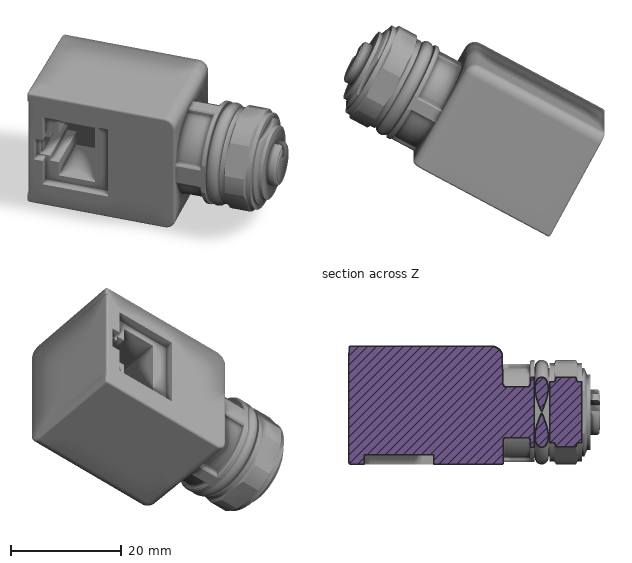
import cadquery as cq
import math


HOUSING_LENGTH = 28.25
HOUSING_WIDTH = 21.5
HOUSING_HEIGHT = 24.0
HOUSING_FRONT = -9.5
DRAFT_ANGLE = 0.5
CORNER_RADIUS = 2.0
EDGE_RADIUS = 0.4

LID_HEIGHT = 20.5
LID_BACK = 10.75
LID_INNER_FACE = 0.75
LID_SETBACK = 0.15
LID_EDGE_RADIUS = 0.5

RECESS_START = 3.05
RECESS_END = 15.5
RECESS_HEIGHT = 14.8
RECESS_DEPTH = 1.7
RECESS_NOTCH_START = 1.4
RECESS_NOTCH_HEIGHT = 4.55
JACK_END = 12.45
JACK_DEPTH = 12.0
JACK_STEPS = ((5.55, 12.0), (3.9, 6.2), (2.25, 4.0))
LATCH_START = 1.95
LATCH_HEIGHT = 4.0
LATCH_DEPTH = 2.7

COLLAR_ROOT = HOUSING_LENGTH - CORNER_RADIUS
COLLAR_CORE_RADIUS = 8.45
FLANGE_RADIUS = 9.5
FLANGE_START = 33.0
FLANGE_END = 33.9
Z_RIB_TOP = 9.4
Z_RIB_WIDTH = 2.8
Y_RIB_WIDTH = 4.1
FRONT_RIB_TOP = 9.05
BACK_RIB_TOP = 8.72
RIB_CHAMFER = 0.25
POCKET_FOOT = 0.2

SEAL_RADIUS = 1.25
SEAL_OUTER_RADIUS = 9.5
SEAL_CENTRE = FLANGE_END + SEAL_RADIUS
SLEEVE_RADIUS = 8.0
SLEEVE_FLAT_WIDTH = 14.0
SLEEVE_CONE_START = 42.9
SLEEVE_CONE_END = 43.4
SLEEVE_END = 44.05
SLEEVE_TIP_RADIUS = 13.75 / 2

NUT_COLLAR_RADIUS = 17.9 / 2
NUT_START = 36.6
NUT_END = 42.5
HEX_START = 37.45
HEX_END = 41.65
HEX_ACROSS_FLATS = 18.0
HEX_CORNER_RADIUS = 9.5
HEX_BEVEL_LENGTH = 0.3

INSERT_RADIUS = 4.1
INSERT_END = 45.77
INSERT_STEP = 0.15
INSERT_TIP_RADIUS = 3.2
INSERT_CHAMFER = 0.3
KEYWAY_ANGLE = 17.5
KEYWAY_WIDTH = 2.1
KEYWAY_FLOOR = 1.1
LEDGE_Y = 3.3
LEDGE_Z = 1.0


def block(x0, x1, y0, y1, z0, z1):
    return cq.Workplane("XY").box(x1 - x0, y1 - y0, z1 - z0, centered=False).translate((x0, y0, z0))


def cylinder(x0, x1, radius):
    return cq.Workplane("YZ", origin=(x0, 0, 0)).circle(radius).extrude(x1 - x0)


def turned(points):
    """Solid of revolution about the X axis from an outline of (x, radius) points."""
    return cq.Workplane("XY").polyline(points).close().revolve(360, (0, 0, 0), (1, 0, 0))


def make_housing():
    body = (
        cq.Workplane("XZ", origin=(HOUSING_LENGTH / 2, HOUSING_FRONT, 0))
        .rect(HOUSING_LENGTH, HOUSING_HEIGHT)
        .extrude(-HOUSING_WIDTH, taper=DRAFT_ANGLE)
    )
    far_edges = body.faces(">X or >Y").edges()
    outer_edges = far_edges.edges("not(<X or <Y)")
    body = outer_edges.fillet(CORNER_RADIUS)
    return body.faces("<X or <Y").edges().fillet(EDGE_RADIUS)


def lid_block(x0):
    """Plate with drafted sides from x0 to the inner face of the lid."""
    front_half = LID_HEIGHT / 2
    back_half = front_half - (LID_BACK - HOUSING_FRONT) * math.tan(math.radians(DRAFT_ANGLE))
    outline = [
        (HOUSING_FRONT, -front_half),
        (LID_BACK, -back_half),
        (LID_BACK, back_half),
        (HOUSING_FRONT, front_half),
    ]
    sketch = cq.Workplane("YZ", origin=(x0, 0, 0)).polyline(outline).close()
    plate = sketch.extrude(LID_INNER_FACE - x0)
    return plate.edges(">Y and |X").fillet(EDGE_RADIUS)


def fit_lid(housing):
    lid = lid_block(LID_SETBACK).edges("<X and <Y").fillet(LID_EDGE_RADIUS)
    return housing.cut(lid_block(-LID_INNER_FACE)).union(lid)


def port_pocket(x0, x1, height, depth):
    return block(x0, x1, HOUSING_FRONT, HOUSING_FRONT + depth, -height / 2, height / 2)


def make_port():
    port = port_pocket(RECESS_START, RECESS_END, RECESS_HEIGHT, RECESS_DEPTH)
    port = port.union(port_pocket(RECESS_NOTCH_START, RECESS_END, RECESS_NOTCH_HEIGHT, RECESS_DEPTH))
    for start, height in JACK_STEPS:
        port = port.union(port_pocket(start, JACK_END, height, JACK_DEPTH))
    return port.union(port_pocket(LATCH_START, JACK_END, LATCH_HEIGHT, LATCH_DEPTH))


def make_rib(top, width, angle):
    """Rib with sloped feet, drawn pointing to +Z and turned about the X axis by angle."""
    half = width / 2
    foot_half = half + POCKET_FOOT
    foot_height = math.sqrt(COLLAR_CORE_RADIUS**2 - foot_half**2)
    right_side = [
        (foot_half, 0),
        (foot_half, foot_height),
        (half, foot_height + POCKET_FOOT),
        (half, top - RIB_CHAMFER),
        (half - RIB_CHAMFER, top),
    ]
    left_side = [(-y, z) for y, z in reversed(right_side)]
    profile = cq.Workplane("YZ", origin=(COLLAR_ROOT, 0, 0)).polyline(right_side + left_side).close()
    rib = profile.extrude(FLANGE_END - COLLAR_ROOT)
    return rib.rotate((0, 0, 0), (1, 0, 0), angle)


def make_flange():
    flange = cylinder(FLANGE_START, FLANGE_END, FLANGE_RADIUS).faces("<X").chamfer(RIB_CHAMFER)
    limits = block(FLANGE_START, FLANGE_END, -FRONT_RIB_TOP, FLANGE_RADIUS, -Z_RIB_TOP, Z_RIB_TOP)
    return flange.intersect(limits)


def make_collar():
    """Core with four ribs and a flange, which leave four pockets behind the housing."""
    collar = cylinder(COLLAR_ROOT, FLANGE_END, COLLAR_CORE_RADIUS)
    ribs = (
        (Z_RIB_TOP, Z_RIB_WIDTH, 0),
        (FRONT_RIB_TOP, Y_RIB_WIDTH, 90),
        (Z_RIB_TOP, Z_RIB_WIDTH, 180),
        (BACK_RIB_TOP, Y_RIB_WIDTH, 270),
    )
    for top, width, angle in ribs:
        collar = collar.union(make_rib(top, width, angle))
    return collar.union(make_flange()).union(make_pocket_feet())


def make_pocket_feet():
    """Concave rounds where the core meets the housing and the flange."""
    foot_radius = COLLAR_CORE_RADIUS + POCKET_FOOT
    outline = (
        cq.Workplane("XY")
        .moveTo(COLLAR_ROOT, 0)
        .lineTo(COLLAR_ROOT, foot_radius)
        .lineTo(HOUSING_LENGTH, foot_radius)
        .radiusArc((HOUSING_LENGTH + POCKET_FOOT, COLLAR_CORE_RADIUS), -POCKET_FOOT)
        .lineTo(FLANGE_START - POCKET_FOOT, COLLAR_CORE_RADIUS)
        .radiusArc((FLANGE_START, foot_radius), -POCKET_FOOT)
        .lineTo(FLANGE_START, 0)
        .close()
    )
    return outline.revolve(360, (0, 0, 0), (1, 0, 0))


def make_seal():
    ring_radius = SEAL_OUTER_RADIUS - SEAL_RADIUS
    section = cq.Workplane("XY").center(SEAL_CENTRE, ring_radius).circle(SEAL_RADIUS)
    return section.revolve(360, (-SEAL_CENTRE, -ring_radius, 0), (1 - SEAL_CENTRE, -ring_radius, 0))


def make_sleeve():
    sleeve = turned([
        (FLANGE_START, 0),
        (FLANGE_START, SLEEVE_RADIUS),
        (SLEEVE_CONE_START, SLEEVE_RADIUS),
        (SLEEVE_CONE_END, SLEEVE_TIP_RADIUS),
        (SLEEVE_END, SLEEVE_TIP_RADIUS),
        (SLEEVE_END, 0),
    ])
    half_flat = SLEEVE_FLAT_WIDTH / 2
    return sleeve.intersect(
        block(FLANGE_START, SLEEVE_END, -SLEEVE_RADIUS, SLEEVE_RADIUS, -half_flat, half_flat)
    )


def make_nut():
    hex_diameter = HEX_ACROSS_FLATS / math.cos(math.pi / 6)
    hexagon = (
        cq.Workplane("YZ", origin=(HEX_START, 0, 0))
        .polygon(6, hex_diameter)
        .extrude(HEX_END - HEX_START)
    )
    bevelled_blank = turned([
        (HEX_START, 0),
        (HEX_START, NUT_COLLAR_RADIUS),
        (HEX_START + HEX_BEVEL_LENGTH, HEX_CORNER_RADIUS),
        (HEX_END - HEX_BEVEL_LENGTH, HEX_CORNER_RADIUS),
        (HEX_END, NUT_COLLAR_RADIUS),
        (HEX_END, 0),
    ])
    return hexagon.intersect(bevelled_blank).union(cylinder(NUT_START, NUT_END, NUT_COLLAR_RADIUS))


def make_insert():
    shoulder = INSERT_END - INSERT_STEP
    insert = cylinder(SLEEVE_END, shoulder, INSERT_RADIUS).faces(">X").chamfer(INSERT_CHAMFER)
    insert = insert.union(cylinder(SLEEVE_END, INSERT_END, INSERT_TIP_RADIUS))
    half_key = KEYWAY_WIDTH / 2
    keyway = block(SLEEVE_END, INSERT_END, -half_key, half_key, KEYWAY_FLOOR, INSERT_RADIUS)
    insert = insert.cut(keyway.rotate((0, 0, 0), (1, 0, 0), -KEYWAY_ANGLE))
    return insert.cut(block(SLEEVE_END, INSERT_END, LEDGE_Y, INSERT_RADIUS, LEDGE_Z, INSERT_RADIUS))


housing = fit_lid(make_housing()).cut(make_port())
result = (
    housing.union(make_collar())
    .union(make_seal())
    .union(make_sleeve())
    .union(make_nut())
    .union(make_insert())
)